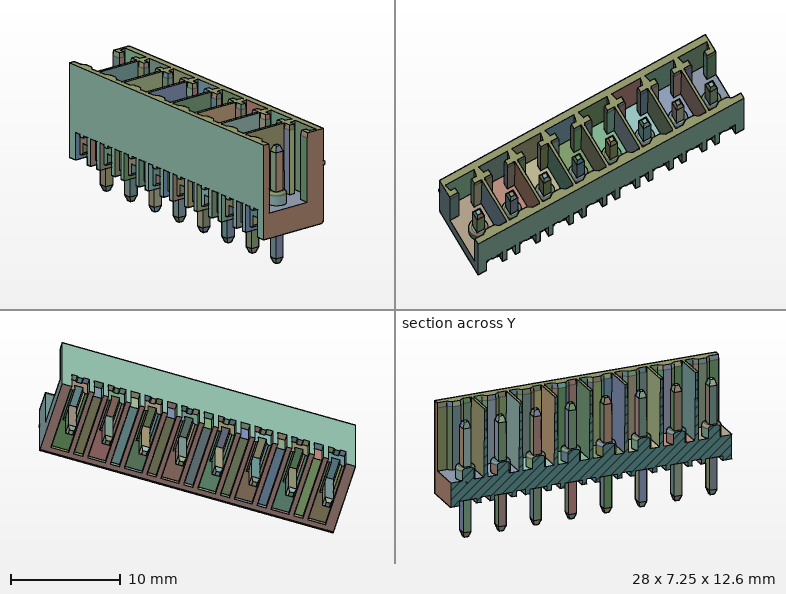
import cadquery as cq
import math


pole_count = 8
length = 28.0
pitch = length / pole_count
depth = 7.05
height = 9.2
bottom_rear_chamfer = 0.2

floor_z = 2.45
cavity_width = 3.05
partition_draft = 0.08
front_wall = 0.67
hump_base_width = 1.68
hump_top_width = 0.85
hump_height = 0.3
arm_front_y = 5.12
arm_rear_y = 5.7
throat_width = 1.57
slot_front_width = 2.75
slot_rear_width = 3.02
slot_rear_y = 6.38
lip_flare = 0.08
lip_height = 0.48

recess_height = 2.7
pin_recess_width = 1.68
pin_recess_depth = 0.5
gap_recess_width = 0.87
gap_recess_depth = 0.55
tooth_root_width = 0.62
tooth_tip_width = 0.45
tooth_height = 0.25
underside_pin_z = 0.45
underside_gap_z = 0.5
underside_rear_y = slot_rear_y

pin_width = 0.78
pin_depth = 0.87
pin_y = 2.97
pin_bottom_z = -3.4
pin_top_z = 8.05
tip_height = 0.55
tip_side = 0.42
collar_diameter = 1.8
collar_height = 1.2
collar_fillet = 0.25

pin_slot_top_z = 1.62
slot_flare = 0.2
slot_flare_height = 0.25

ridge_z = 5.85
ridge_depth = 0.2
ridge_base_height = 0.45
ridge_tip_height = 0.22

pin_xs = [(i + 0.5) * pitch - length / 2 for i in range(pole_count)]
gap_xs = [i * pitch - length / 2 for i in range(1, pole_count)]


def block(x0, x1, y0, y1, z0, z1):
    """Box between two opposite corners."""
    return cq.Workplane("XY").box(x1 - x0, y1 - y0, z1 - z0, centered=False).translate((x0, y0, z0))


def centred_block(x, width, y0, y1, z0, z1):
    """Box whose width is centred on x."""
    return block(x - width / 2, x + width / 2, y0, y1, z0, z1)


def along_y(points, y0, y1):
    """Prism with an X-Z outline, running from y0 to y1."""
    return cq.Workplane("XZ", origin=(0, y0, 0)).polyline(points).close().extrude(y0 - y1)


def slope_angle(run, rise):
    """Angle from vertical, in degrees, of a face that moves sideways by run over a height of rise."""
    return math.degrees(math.atan(run / rise))


def make_housing():
    housing = block(-length / 2, length / 2, 0, depth, 0, height)
    return housing.edges(">Y and <Z").chamfer(bottom_rear_chamfer)


def make_ridge():
    root = ridge_base_height / 2
    tip = ridge_tip_height / 2
    profile = [
        (depth, ridge_z - root),
        (depth + ridge_depth, ridge_z - tip),
        (depth + ridge_depth, ridge_z + tip),
        (depth, ridge_z + root),
    ]
    return cq.Workplane("YZ").polyline(profile).close().extrude(length / 2, both=True)


def make_cavity(x):
    """Pole cavity with a front hump, a rear T-slot, drafted sides and a flared lip; end cavities are open."""
    left = x - cavity_width / 2
    right = x + cavity_width / 2
    if x == pin_xs[0]:
        left = x - pitch
    if x == pin_xs[-1]:
        right = x + pitch
    drafted_sides = [
        (left, floor_z),
        (right, floor_z),
        (right + partition_draft, height),
        (left - partition_draft, height),
    ]
    hump = [
        (x - hump_base_width / 2, front_wall),
        (x - hump_top_width / 2, front_wall + hump_height),
        (x + hump_top_width / 2, front_wall + hump_height),
        (x + hump_base_width / 2, front_wall),
    ]
    mouth = [
        (left, front_wall),
        *hump,
        (right, front_wall),
        (right, arm_front_y),
        (x + throat_width / 2, arm_front_y),
        (x + throat_width / 2, arm_rear_y),
        (x - throat_width / 2, arm_rear_y),
        (x - throat_width / 2, arm_front_y),
        (left, arm_front_y),
    ]
    slot = [
        (x - slot_front_width / 2, arm_rear_y),
        (x + slot_front_width / 2, arm_rear_y),
        (x + slot_rear_width / 2, slot_rear_y),
        (x - slot_rear_width / 2, slot_rear_y),
    ]
    floor = cq.Workplane("XY", origin=(0, 0, floor_z))
    cavity = along_y(drafted_sides, front_wall, arm_front_y)
    cavity = cavity.cut(floor.polyline(hump).close().extrude(height - floor_z))
    cavity = cavity.union(centred_block(x, throat_width, arm_front_y, arm_rear_y, floor_z, height))
    cavity = cavity.union(floor.polyline(slot).close().extrude(height - floor_z))
    lip_plane = cq.Workplane("XY", origin=(0, 0, height - lip_height))
    lip = lip_plane.polyline(mouth).close().extrude(lip_height, taper=-slope_angle(lip_flare, lip_height))
    return cavity.union(lip)


def make_pin_recess(x):
    """Front recess with a tooth on its ceiling, the underside hollow behind it and the pin slot."""
    recess = centred_block(x, pin_recess_width, 0, pin_recess_depth, 0, recess_height)
    tooth = [
        (x - tooth_root_width / 2, recess_height),
        (x - tooth_tip_width / 2, recess_height - tooth_height),
        (x + tooth_tip_width / 2, recess_height - tooth_height),
        (x + tooth_root_width / 2, recess_height),
    ]
    recess = recess.cut(along_y(tooth, 0, pin_recess_depth))
    underside = centred_block(x, pin_recess_width, 0, underside_rear_y, 0, underside_pin_z)
    slot = centred_block(x, pin_width, 0, pin_y, 0, pin_slot_top_z)
    flare_width = pin_width + 2 * slot_flare
    flare_length = pin_y + pin_depth / 2 + slot_flare
    flare = (
        cq.Workplane("XY", origin=(x, flare_length / 2, underside_pin_z))
        .rect(flare_width, flare_length)
        .extrude(slot_flare_height, taper=slope_angle(slot_flare, slot_flare_height))
    )
    return recess.union(underside).union(slot).union(flare)


def make_gap_recess(x):
    """Front recess between two poles and the underside hollow behind it."""
    recess = centred_block(x, gap_recess_width, 0, gap_recess_depth, 0, recess_height)
    return recess.union(centred_block(x, gap_recess_width, 0, underside_rear_y, 0, underside_gap_z))


def make_collar(x):
    collar = cq.Workplane("XY", origin=(x, pin_y, floor_z)).circle(collar_diameter / 2).extrude(collar_height)
    return collar.faces(">Z").edges().fillet(collar_fillet)


def make_pin(x):
    """Rectangular pin with a tapered tip at both ends."""
    shank_bottom = pin_bottom_z + tip_height
    shank_top = pin_top_z - tip_height
    pin = centred_block(x, pin_width, pin_y - pin_depth / 2, pin_y + pin_depth / 2, shank_bottom, shank_top)
    for shank_end, direction in ((shank_bottom, -1), (shank_top, 1)):
        tip = (
            cq.Workplane("XY", origin=(x, pin_y, shank_end))
            .rect(pin_width, pin_depth)
            .workplane(offset=direction * tip_height)
            .rect(tip_side, tip_side)
            .loft()
        )
        pin = pin.union(tip)
    return pin


result = make_housing().union(make_ridge())
for pin_x in pin_xs:
    result = result.cut(make_cavity(pin_x)).cut(make_pin_recess(pin_x))
for gap_x in gap_xs:
    result = result.cut(make_gap_recess(gap_x))
for pin_x in pin_xs:
    result = result.union(make_collar(pin_x)).union(make_pin(pin_x))